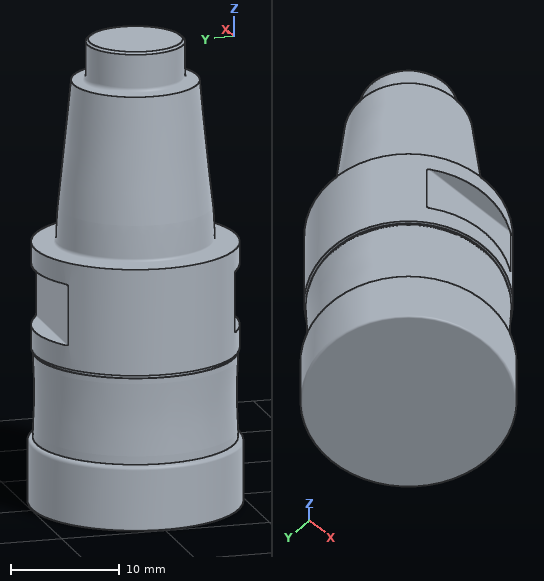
import cadquery as cq
import math

TOTAL_HEIGHT = 44.5
FOOT_HEIGHT = 6.27
WAIST_BOTTOM = 7.08
WAIST_TOP = 14.0
BAND_TOP = 14.55
COLLAR_BOTTOM = 14.85
COLLAR_TOP = 25.05
TAPER_BOTTOM = 28.55
TAPER_TOP = 40.6

FOOT_RADIUS = 20.02 / 2
BAND_RADIUS = 19.0 / 2
WAIST_RADIUS = 18.8 / 2
COLLAR_RADIUS = 19.3 / 2
SLEEVE_RADIUS = 7.35
TAPER_TOP_RADIUS = 5.95
PIN_RADIUS = 9.2 / 2

FOOT_TOP_FILLET = 0.4
FOOT_BOTTOM_FILLET = 0.22
SLEEVE_FILLET = 0.4
PIN_FILLET = 0.5
PIN_CHAMFER = 0.22

FLAT_DISTANCE = 8.0
FLAT_BOTTOM = 17.1
FLAT_TOP = 22.95
FLAT_CORNER_FILLET = 0.2


def make_foot():
    """Round foot with softened rims."""
    foot = cq.Workplane("XY").circle(FOOT_RADIUS).extrude(FOOT_HEIGHT)
    foot = foot.faces(">Z").edges().fillet(FOOT_TOP_FILLET)
    return foot.faces("<Z").edges().fillet(FOOT_BOTTOM_FILLET)


def make_turned_body():
    """Stepped body of revolution, drawn as a half profile (radius, height)."""
    waist_middle = (WAIST_BOTTOM + WAIST_TOP) / 2
    sleeve_fillet_top = COLLAR_TOP + SLEEVE_FILLET
    pin_fillet_top = TAPER_TOP + PIN_FILLET
    fillet_offset = 1 - math.sqrt(0.5)

    bulge_height = TAPER_BOTTOM - sleeve_fillet_top
    taper_height = TAPER_TOP - TAPER_BOTTOM
    bulge_inset = ((SLEEVE_RADIUS - TAPER_TOP_RADIUS) * bulge_height
                   / (2 * taper_height + bulge_height))

    profile = (
        cq.Workplane("XZ")
        .moveTo(0, FOOT_HEIGHT)
        .lineTo(BAND_RADIUS, FOOT_HEIGHT)
        .lineTo(BAND_RADIUS, WAIST_BOTTOM)
        .threePointArc((WAIST_RADIUS, waist_middle), (BAND_RADIUS, WAIST_TOP))
        .lineTo(BAND_RADIUS, BAND_TOP)
        .lineTo(WAIST_RADIUS, BAND_TOP)
        .lineTo(WAIST_RADIUS, COLLAR_BOTTOM)
        .lineTo(COLLAR_RADIUS, COLLAR_BOTTOM)
        .lineTo(COLLAR_RADIUS, COLLAR_TOP)
        .lineTo(SLEEVE_RADIUS + SLEEVE_FILLET, COLLAR_TOP)
        .threePointArc(
            (SLEEVE_RADIUS + SLEEVE_FILLET * fillet_offset,
             COLLAR_TOP + SLEEVE_FILLET * fillet_offset),
            (SLEEVE_RADIUS, sleeve_fillet_top),
        )
        .tangentArcPoint((SLEEVE_RADIUS - bulge_inset, TAPER_BOTTOM), relative=False)
        .lineTo(TAPER_TOP_RADIUS, TAPER_TOP)
        .lineTo(PIN_RADIUS + PIN_FILLET, TAPER_TOP)
        .threePointArc(
            (PIN_RADIUS + PIN_FILLET * fillet_offset,
             TAPER_TOP + PIN_FILLET * fillet_offset),
            (PIN_RADIUS, pin_fillet_top),
        )
        .lineTo(PIN_RADIUS, TOTAL_HEIGHT - PIN_CHAMFER)
        .lineTo(PIN_RADIUS - PIN_CHAMFER, TOTAL_HEIGHT)
        .lineTo(0, TOTAL_HEIGHT)
        .close()
    )
    return profile.revolve(360, (0, 0, 0), (0, 1, 0))


def make_flat_cutter(side):
    """Block that cuts one wrench flat; side is -1 for front and +1 for back."""
    flat_height = FLAT_TOP - FLAT_BOTTOM
    return (
        cq.Workplane("XY")
        .box(2 * COLLAR_RADIUS, COLLAR_RADIUS, flat_height)
        .edges("|X")
        .fillet(FLAT_CORNER_FILLET)
        .translate((0, side * (FLAT_DISTANCE + COLLAR_RADIUS / 2), FLAT_BOTTOM + flat_height / 2))
    )


foot = make_foot()

body = make_turned_body()
for side in (-1, 1):
    body = body.cut(make_flat_cutter(side))

result = cq.Compound.makeCompound([foot.val(), body.val()])